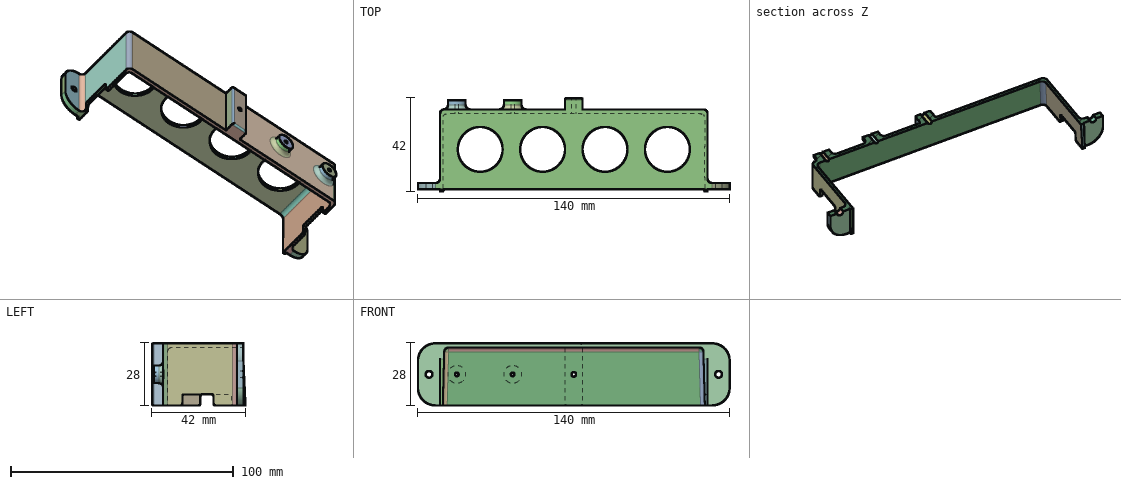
import cadquery as cq

overall_length = 140.0
height = 28.0
body_length = 120.1
body_depth = 36.0
wall = 2.0
wall_at_bottom = 1.3
bend_radius = 2.0
cavity_half_top = body_length / 2 - wall
cavity_half_bottom = body_length / 2 - wall_at_bottom

flange_thickness = 3.0
flange_radius = 8.0
flange_hole_diameter = 3.0
flange_hole_x = 65.0

rib_height = 20.9
rib_projection = 1.0

opening_diameter = 20.0
opening_pitch = 28.0
opening_count = 4

boss_diameter = 8.0
boss_length = 4.0
boss_flare = 2.0
boss_hole_diameter = 1.5
boss_positions = (-52.5, -27.5)
tab_width = 8.0
tab_length = 5.0
tab_edge_radius = 0.8
tab_hole_diameter = 2.0

notch_length = 14.0
notch_height = 5.0
notch_radius = 1.0
left_notch_start = 13.5
right_notch_start = 5.3

joint_overlap = wall / 2
mid_height = height / 2
rear_y = body_depth + tab_length


def y_cylinder(diameter, x, y_start, length):
    """Cylinder along +Y at mid height."""
    start = cq.Vector(x, y_start, mid_height)
    return cq.Workplane(cq.Solid.makeCylinder(diameter / 2, length, start, cq.Vector(0, 1, 0)))


def make_shell():
    """Solid body and flange bar, with rounded rear corners and flange roots."""
    body = cq.Workplane().box(body_length, body_depth, height, centered=(True, False, False))
    body = body.edges("|Z and >Y").fillet(bend_radius)
    bar = cq.Workplane().box(overall_length, flange_thickness, height, centered=(True, False, False))
    bar = bar.edges("|Y").fillet(flange_radius)
    shell = body.union(bar)
    margin = 0.1
    roots = cq.selectors.BoxSelector(
        (-body_length / 2 - margin, flange_thickness - margin, 0),
        (body_length / 2 + margin, flange_thickness + margin, height),
    )
    return shell.edges("|Z").edges(roots).fillet(bend_radius)


def make_rib(side):
    """Wedge that thickens toward the bottom, flush with the outside of a side wall."""
    rib = (
        cq.Workplane("YZ")
        .polyline([(-rib_projection, 0), (wall, 0), (wall, rib_height), (0, rib_height)])
        .close()
        .extrude(wall)
    )
    x_start = body_length / 2 - wall if side > 0 else -body_length / 2
    return rib.translate((x_start, 0, 0))


def make_cavity():
    """Inner space with drafted ends and rounded inner edges."""
    profile = [
        (-cavity_half_bottom, 0),
        (-cavity_half_top, height - wall),
        (cavity_half_top, height - wall),
        (cavity_half_bottom, 0),
    ]
    depth = body_depth - wall + rib_projection
    cavity = cq.Workplane("XZ", origin=(0, body_depth - wall, 0)).polyline(profile).close().extrude(depth)
    return cavity.edges("not(<Z or <Y)").fillet(bend_radius)


def make_boss(x):
    """Round rear boss with a concave flare at its root."""
    radius = boss_diameter / 2
    return (
        cq.Workplane("XY")
        .moveTo(0, -joint_overlap)
        .lineTo(radius + boss_flare, -joint_overlap)
        .lineTo(radius + boss_flare, 0)
        .radiusArc((radius, boss_flare), boss_flare)
        .lineTo(radius, boss_length)
        .lineTo(0, boss_length)
        .close()
        .revolve(360, (0, 0), (0, 1))
        .translate((x, body_depth, mid_height))
    )


def make_tab():
    """Full-height rear tab with a rounded tip."""
    length = tab_length + joint_overlap
    tab = cq.Workplane().box(tab_width, length, height, centered=(True, False, False))
    return tab.faces(">Y").edges().fillet(tab_edge_radius).translate((0, rear_y - length, 0))


def make_notch(side, y_start):
    """Cutter for a notch with rounded upper corners and rounded mouth."""
    x_start = 0 if side > 0 else -body_length
    y_end = y_start + notch_length
    r = notch_radius
    return (
        cq.Workplane("YZ", origin=(x_start, 0, 0))
        .moveTo(y_start - r, 0)
        .radiusArc((y_start, r), -r)
        .lineTo(y_start, notch_height - r)
        .radiusArc((y_start + r, notch_height), r)
        .lineTo(y_end - r, notch_height)
        .radiusArc((y_end, notch_height - r), r)
        .lineTo(y_end, r)
        .radiusArc((y_end + r, 0), -r)
        .close()
        .extrude(body_length)
    )


result = make_shell()
for side in (-1, 1):
    result = result.union(make_rib(side))
result = result.cut(make_cavity())

for x in boss_positions:
    result = result.union(make_boss(x))
    result = result.cut(y_cylinder(boss_hole_diameter, x, 0, rear_y))
result = result.union(make_tab())
result = result.cut(y_cylinder(tab_hole_diameter, 0, 0, rear_y))

for side in (-1, 1):
    result = result.cut(y_cylinder(flange_hole_diameter, side * flange_hole_x, 0, flange_thickness))

openings = (
    cq.Workplane("XY", origin=(0, body_depth / 2, height - 2 * wall))
    .rarray(opening_pitch, 1.4, opening_count, 1)
    .circle(opening_diameter / 2)
    .extrude(2 * wall)
)
result = result.cut(openings)

result = result.cut(make_notch(-1, left_notch_start))
result = result.cut(make_notch(1, right_notch_start))